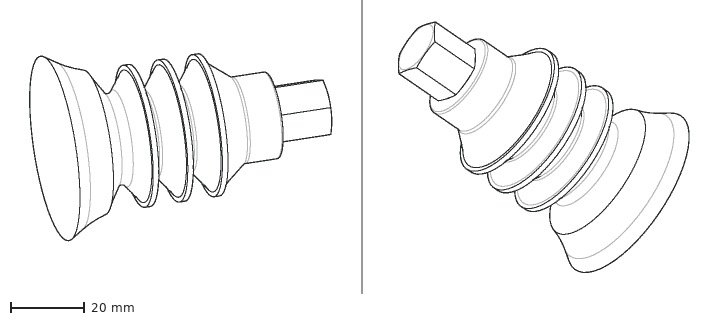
import cadquery as cq
import math


lip_radius = 51.0 / 2
lip_edge = (23.25, 3.6)
skirt_top = (20.0, 11.05)

rim_radius = 39.3 / 2
rim_seat_above = 18.5
rim_seat_below = 18.3
rim_pitch = 9.8
bottom_rim_y = 22.4
rim_thickness = 1.6
flare_sag = 0.12

small_neck_radius = 24.0 / 2
small_neck_drop = 5.0
small_neck_rounding = 0.5
small_neck_exit = 66.0

wide_neck_radius = 13.4
wide_neck_drop = 3.9
wide_neck_rounding = 2.0
wide_neck_exit = 55.0

body_radius = 24.0 / 2
body_top_y = 61.5
body_edge_rounding = 0.5
body_bottom_y = 52.05
body_foot_rounding = 1.5
body_foot_angle = 36.0

hex_across_flats = 15.0
hex_turn = 1.6
hex_end_radius = 7.2
hex_chamfer_height = 0.4
total_length = 76.5


def flare(outline, start, end):
    """Draw a slightly hollow flare going down and outwards."""
    length = math.dist(start, end)
    middle_radius = (start[0] + end[0]) / 2
    middle_y = (start[1] + end[1]) / 2
    inward = (start[1] - end[1]) / length
    downward = (end[0] - start[0]) / length
    middle = (middle_radius - flare_sag * inward, middle_y - flare_sag * downward)
    return outline.threePointArc(middle, end)


def rim(outline, underside_y):
    """Draw a rim from the seat of the flare above it to the start of the cone below it."""
    outline = outline.lineTo(rim_radius, underside_y + rim_thickness)
    outline = outline.lineTo(rim_radius, underside_y)
    return outline.lineTo(rim_seat_below, underside_y)


def neck(outline, underside_y, radius, drop, rounding, exit_degrees):
    """Draw the cone under a rim and the rounded neck it runs into; return the outline and its end."""
    entry = math.atan2(rim_seat_below - radius, drop)
    leave = math.radians(exit_degrees)
    throat = radius - rounding * (1 - math.cos(entry))
    throat_y = underside_y - drop - rounding * math.sin(entry)
    end = (throat + rounding * (1 - math.cos(leave)), throat_y - rounding * math.sin(leave))
    outline = outline.lineTo(radius, underside_y - drop)
    return outline.threePointArc((throat, throat_y), end), end


def skirt_middle():
    """Middle of the skirt arc, which is tangent to the straight lip at the lip edge."""
    chord = math.dist(lip_edge, skirt_top)
    chord_angle = math.atan2(lip_edge[0] - skirt_top[0], skirt_top[1] - lip_edge[1])
    lip_angle = math.atan2(lip_radius - lip_edge[0], lip_edge[1])
    sag = chord / 2 * math.tan((lip_angle - chord_angle) / 2)
    return (
        (lip_edge[0] + skirt_top[0]) / 2 - sag * math.cos(chord_angle),
        (lip_edge[1] + skirt_top[1]) / 2 - sag * math.sin(chord_angle),
    )


def make_cup():
    """Revolve the half outline, drawn from the body down to the lip."""
    outline = cq.Workplane("XY").moveTo(0, body_top_y).lineTo(body_radius, body_top_y)
    outline = outline.lineTo(body_radius, body_bottom_y)
    foot_angle = math.radians(body_foot_angle)
    flare_start = (
        body_radius + body_foot_rounding * (1 - math.cos(foot_angle)),
        body_bottom_y - body_foot_rounding * math.sin(foot_angle),
    )
    outline = outline.tangentArcPoint(flare_start, relative=False)

    small_neck = (small_neck_radius, small_neck_drop, small_neck_rounding, small_neck_exit)
    wide_neck = (wide_neck_radius, wide_neck_drop, wide_neck_rounding, wide_neck_exit)
    necks = [small_neck, small_neck, wide_neck]
    for index, neck_sizes in enumerate(necks):
        rims_below = len(necks) - 1 - index
        underside_y = bottom_rim_y + rims_below * rim_pitch
        outline = flare(outline, flare_start, (rim_seat_above, underside_y + rim_thickness))
        outline = rim(outline, underside_y)
        outline, flare_start = neck(outline, underside_y, *neck_sizes)

    outline = flare(outline, flare_start, skirt_top)
    outline = outline.threePointArc(skirt_middle(), lip_edge)
    outline = outline.lineTo(lip_radius, 0).lineTo(0, 0).close()
    cup = outline.revolve(360, (0, 0, 0), (0, 1, 0))
    return cup.faces(">Y").edges().fillet(body_edge_rounding)


def make_hex_fitting():
    """Hexagonal prism on the body, with its corners turned off at both ends."""
    length = total_length - body_top_y
    corner_radius = hex_across_flats / math.sqrt(3)
    prism = (
        cq.Workplane("XZ", origin=(0, total_length, 0))
        .transformed(rotate=(0, 0, 90 + hex_turn))
        .polygon(6, 2 * corner_radius)
        .extrude(length)
    )
    turned_blank = (
        cq.Workplane("XY")
        .moveTo(0, body_top_y)
        .lineTo(hex_end_radius, body_top_y)
        .lineTo(corner_radius, body_top_y + hex_chamfer_height)
        .lineTo(corner_radius, total_length - hex_chamfer_height)
        .lineTo(hex_end_radius, total_length)
        .lineTo(0, total_length)
        .close()
        .revolve(360, (0, 0, 0), (0, 1, 0))
    )
    return prism.intersect(turned_blank)


result = make_cup().union(make_hex_fitting())